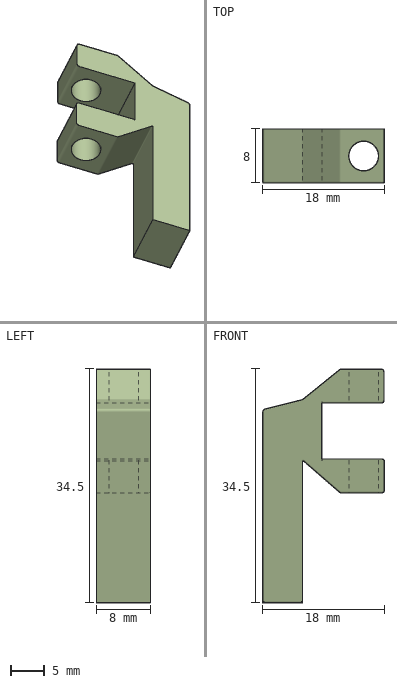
import cadquery as cq

height = 34.5
depth = 8.0
reach = 17.97

leg_width = 5.9
back_top = 28.53
shoulder_z = 30.0
notch_z = 21.05

arm_start = 11.45
tip_offset = 0.07
upper_reach = reach - tip_offset
upper_arm_thickness = 5.05
lower_arm_bottom = 16.2
lower_arm_top = 21.25
slot_x = 8.73

hole_diameter = 4.35
hole_x = 14.9

slope_radius = 0.52
arm_radius = 0.4
notch_radius = 0.1
rim_radius = 0.2

upper_arm_bottom = height - upper_arm_thickness


def edge_box(x, z, size=0.07):
    """Box around the edges that pass a point of the profile."""
    return cq.selectors.BoxSelector(
        (x - size, -depth, z - size),
        (x + size, depth * 2, z + size),
    )


profile = [
    (0, 0),
    (leg_width, 0),
    (leg_width, notch_z),
    (arm_start, lower_arm_bottom),
    (reach, lower_arm_bottom),
    (reach, lower_arm_top),
    (slot_x, lower_arm_top),
    (slot_x, upper_arm_bottom),
    (upper_reach, upper_arm_bottom),
    (upper_reach, height),
    (arm_start, height),
    (leg_width, shoulder_z),
    (0, back_top),
]
body = cq.Workplane("XZ").polyline(profile).close().extrude(-depth)

rounded_corners = [
    (0, back_top, slope_radius),
    (leg_width, shoulder_z, slope_radius),
    (arm_start, height, arm_radius),
    (arm_start, lower_arm_bottom, arm_radius),
    (upper_reach, height, arm_radius),
    (upper_reach, upper_arm_bottom, arm_radius),
    (reach, lower_arm_top, arm_radius),
    (reach, lower_arm_bottom, arm_radius),
    (leg_width, notch_z, notch_radius),
]
for x, z, radius in rounded_corners:
    body = body.edges("|Y").edges(edge_box(x, z)).fillet(radius)

slot_wall = edge_box(slot_x, (lower_arm_top + upper_arm_bottom) / 2)
body = body.faces("<Y").edges(-slot_wall).fillet(rim_radius)

pin_hole = (
    cq.Workplane("XY")
    .center(hole_x, depth / 2)
    .circle(hole_diameter / 2)
    .extrude(height)
)
result = body.cut(pin_hole)